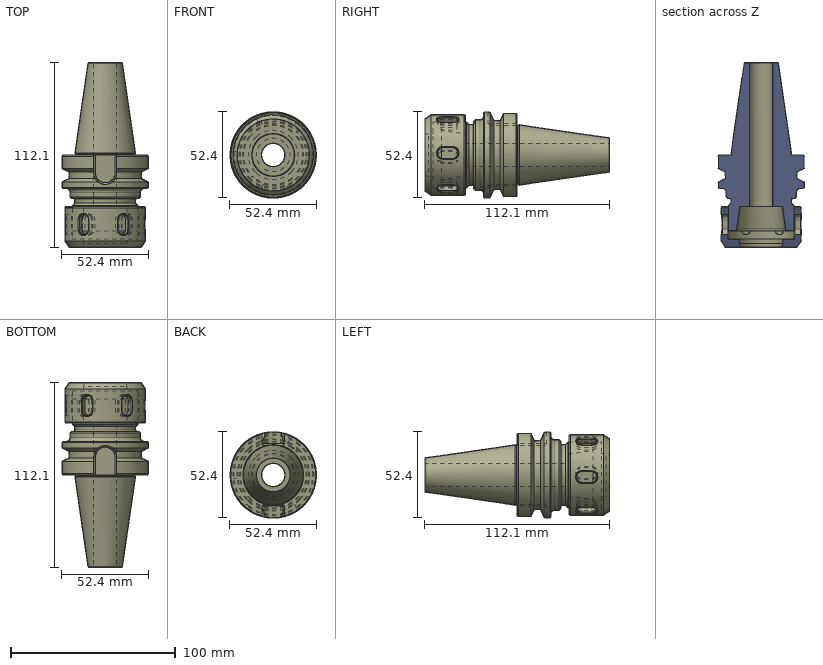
import cadquery as cq
import math


shank_end = 112.1
shank_chamfer_length = 0.7
shank_chamfer_depth = 0.2
taper_per_length = 7 / 48
gauge_y = 57.3
gauge_radius = 18.4
relief_radius = 17.9
relief_start = 56.6

flange_back = 56.0
flange_diameter = 52.4
flange_radius = flange_diameter / 2
flange_chamfer_length = 0.8
flange_chamfer_depth = 0.3
groove_radius = 22.0
groove_back_rim = 47.8
groove_back_floor = 45.7
groove_front_floor = 41.8
groove_front_rim = 39.7
flange_front = 35.7
flange_front_chamfer = 0.7

collar_radius = 21.4
collar_root_fillet = 2.2
collar_front = 29.6
collar_chamfer = 1.0
neck_radius = 18.5
neck_root_fillet = 0.7
neck_front = 26.8
thread_radius = 20.0
nose_front = 10.1

bore_mouth_radius = 15.0
bore_mouth_depth = 1.5
bore_radius = 14.7
bore_half_angle = math.radians(8)
bore_floor = 24.7
through_hole_diameter = 14.0
through_hole_radius = through_hole_diameter / 2

key_half_width = 7.0
key_floor_z = 17.9
key_edge_chamfer = 1.0
key_arc_center_y = 45.2

nut_back = 24.7
nut_radius = 24.4
nut_back_chamfer_length = 0.8
nut_back_chamfer_depth = 0.5
nut_front_chamfer_length = 3.8
nut_front_chamfer_depth = 2.6
nut_opening_radius = 12.8
nut_opening_length = 2.4
nut_lip_recess_radius = 13.1
nut_lip_back = 5.0

wrench_slot_count = 6
wrench_slot_y = 13.9
wrench_slot_length = 12.3
wrench_slot_width = 6.7
wrench_slot_floor = 20.4
wrench_slot_chamfer = 0.6
tolerance = 0.01

nut_turn = 27.0


def holder_blank():
    """Holder turned about the Y axis, including its stepped bore."""
    shank_end_radius = gauge_radius - (shank_end - gauge_y) * taper_per_length
    shank_chamfer_y = shank_end - shank_chamfer_length
    shank_chamfer_radius = gauge_radius - (shank_chamfer_y - gauge_y) * taper_per_length
    bore_start = nose_front + bore_mouth_depth
    bore_floor_radius = bore_radius - (bore_floor - bore_start) * math.tan(bore_half_angle)
    fillet_bulge = math.sqrt(0.5)

    collar_fillet_x = collar_radius + collar_root_fillet
    collar_fillet_y = flange_front - collar_root_fillet
    neck_fillet_x = neck_radius + neck_root_fillet
    neck_fillet_y = collar_front - neck_root_fillet

    return (
        cq.Workplane("XY")
        .moveTo(through_hole_radius, shank_end)
        .lineTo(shank_end_radius - shank_chamfer_depth, shank_end)
        .lineTo(shank_chamfer_radius, shank_chamfer_y)
        .lineTo(gauge_radius, gauge_y)
        .lineTo(relief_radius, relief_start)
        .lineTo(relief_radius, flange_back)
        .lineTo(flange_radius - flange_chamfer_depth, flange_back)
        .lineTo(flange_radius, flange_back - flange_chamfer_length)
        .lineTo(flange_radius, groove_back_rim)
        .lineTo(groove_radius, groove_back_floor)
        .lineTo(groove_radius, groove_front_floor)
        .lineTo(flange_radius, groove_front_rim)
        .lineTo(flange_radius, flange_front + flange_front_chamfer)
        .lineTo(flange_radius - flange_front_chamfer, flange_front)
        .lineTo(collar_fillet_x, flange_front)
        .threePointArc(
            (
                collar_fillet_x - collar_root_fillet * fillet_bulge,
                collar_fillet_y + collar_root_fillet * fillet_bulge,
            ),
            (collar_radius, collar_fillet_y),
        )
        .lineTo(collar_radius, collar_front + collar_chamfer)
        .lineTo(collar_radius - collar_chamfer, collar_front)
        .lineTo(neck_fillet_x, collar_front)
        .threePointArc(
            (
                neck_fillet_x - neck_root_fillet * fillet_bulge,
                neck_fillet_y + neck_root_fillet * fillet_bulge,
            ),
            (neck_radius, neck_fillet_y),
        )
        .lineTo(neck_radius, neck_front)
        .lineTo(thread_radius, neck_front - (thread_radius - neck_radius))
        .lineTo(thread_radius, nose_front)
        .lineTo(bore_mouth_radius, nose_front)
        .lineTo(bore_radius, bore_start)
        .lineTo(bore_floor_radius, bore_floor)
        .lineTo(through_hole_radius, bore_floor)
        .close()
        .revolve(360, (0, 0, 0), (0, 1, 0))
    )


def key_slot_cutter():
    """U-ended slot, open at the flange back, with a sloped edge around its floor."""
    straight_length = flange_back - key_arc_center_y
    overrun = 2 * key_edge_chamfer
    height = flange_radius
    cutter = (
        cq.Workplane("XY", origin=(0, key_arc_center_y, key_floor_z))
        .moveTo(-key_half_width, 0)
        .threePointArc((0, -key_half_width), (key_half_width, 0))
        .lineTo(key_half_width, straight_length + overrun)
        .lineTo(-key_half_width, straight_length + overrun)
        .close()
        .extrude(height)
        .faces("<Z")
        .chamfer(key_edge_chamfer)
    )
    behind_flange = (
        cq.Workplane("XY", origin=(0, flange_back, key_floor_z))
        .rect(4 * key_half_width, 2 * overrun)
        .extrude(height)
        .translate((0, overrun, 0))
    )
    return cutter.cut(behind_flange)


def build_holder():
    """Taper-shank holder with two opposite driving slots."""
    holder = holder_blank()
    slot = key_slot_cutter()
    for angle in (0, 180):
        holder = holder.cut(slot.rotate((0, 0, 0), (0, 1, 0), angle))
    return holder


def nut_blank():
    """Nut turned about the Y axis, with its stepped front opening and threaded cavity."""
    return (
        cq.Workplane("XY")
        .moveTo(nut_opening_radius, 0)
        .lineTo(nut_radius - nut_front_chamfer_depth, 0)
        .lineTo(nut_radius, nut_front_chamfer_length)
        .lineTo(nut_radius, nut_back - nut_back_chamfer_length)
        .lineTo(nut_radius - nut_back_chamfer_depth, nut_back)
        .lineTo(thread_radius, nut_back)
        .lineTo(thread_radius, nut_lip_back)
        .lineTo(nut_lip_recess_radius, nut_lip_back)
        .lineTo(nut_lip_recess_radius, nut_opening_length)
        .lineTo(nut_opening_radius, nut_opening_length)
        .close()
        .revolve(360, (0, 0, 0), (0, 1, 0))
    )


def cut_wrench_slots(nut):
    """Cut the round-ended, flat-floored slots; the first one faces +Z."""
    slot = (
        cq.Workplane("XY", origin=(0, wrench_slot_y, wrench_slot_floor))
        .slot2D(wrench_slot_length, wrench_slot_width, 90)
        .extrude(nut_radius)
    )
    for index in range(wrench_slot_count):
        nut = nut.cut(slot.rotate((0, 0, 0), (0, 1, 0), index * 360 / wrench_slot_count))
    return nut


def is_slot_rim(edge):
    """True for an edge where a wrench slot breaks through the nut's outer surface."""
    reach = wrench_slot_length / 2 + tolerance
    return all(
        abs(math.hypot(vertex.X, vertex.Z) - nut_radius) < tolerance
        and abs(vertex.Y - wrench_slot_y) < reach
        for vertex in edge.Vertices()
    )


def build_nut():
    """Clamping nut with chamfered wrench slots, turned to its place on the holder."""
    nut = cut_wrench_slots(nut_blank())
    rims = [edge for edge in nut.edges().vals() if is_slot_rim(edge)]
    nut = nut.newObject(rims).chamfer(wrench_slot_chamfer)
    return nut.rotate((0, 0, 0), (0, 1, 0), nut_turn)


holder = build_holder()
nut = build_nut()

result = cq.Compound.makeCompound([holder.val(), nut.val()])